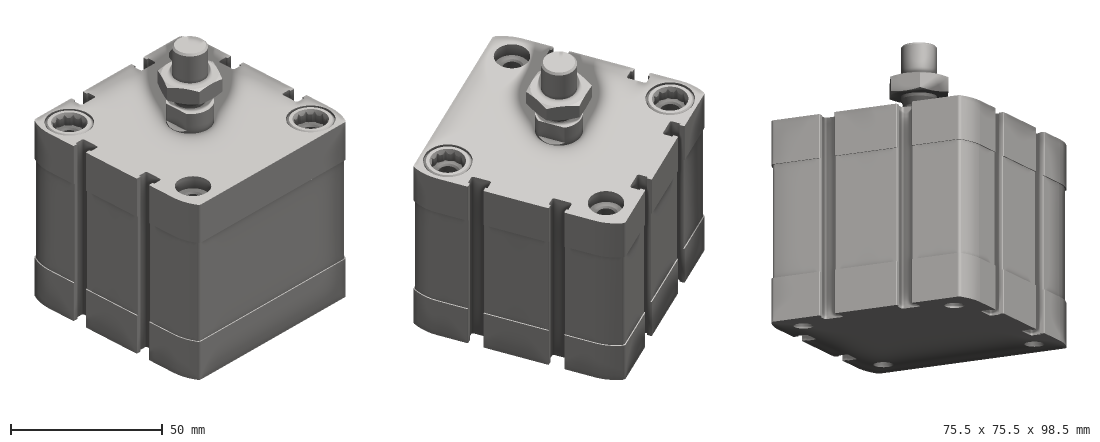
import cadquery as cq
import math

width = 75.5
housing_height = 68.8
cap_height = 15.0
barrel_inset = 0.4
corner_arc_radius = 18.2
corner_arc_start = 9.6
corner_edge_fillet = 1.3

slot_offset = 14.4
slot_opening = 5.5
slot_inner_width = 7.0
slot_lip = 1.8
slot_depth = 5.3
slot_edge_fillet = 0.3
slot_floor_fillet = 0.8

hole_offset = 28.2
thread_diameter = 6.6
countersink_diameter = 8.0
countersink_depth = 0.5
counterbore_diameter = 12.0
counterbore_depth = 4.7

head_pocket_diameter = 16.4
head_diameter = 15.5
head_top_diameter = 14.4
head_groove_depth = 1.0
socket_flats = 9.9
socket_bore_diameter = 10.6
socket_mouth_diameter = 12.0
socket_mouth_depth = 1.8

total_height = 98.5
collar_diameter = 16.0
collar_flats = 13.0
collar_top = 76.4
flats_bottom = 69.8
flats_runout_height = 0.9
neck_diameter = 10.2
neck_top = 77.8
neck_chamfer = 0.3
stud_diameter = 12.0
stud_bottom = 80.2
stud_chamfer = 0.7

nut_flats = 19.0
nut_bottom = 81.3
nut_height = 6.0
nut_chamfer_angle = 20


def block(inset, bottom, height):
    """Block with shallow rounded corners, set in from the full width on all sides."""
    half = width / 2 - inset
    arc_center_x = width / 2 - corner_arc_start
    arc_radius = corner_arc_radius - inset
    arc_center_y = half - arc_radius

    def on_arc(x):
        return arc_center_y + math.sqrt(arc_radius ** 2 - (x - arc_center_x) ** 2)

    side_y = on_arc(half)
    mid_x = (arc_center_x + half) / 2
    mid_y = on_arc(mid_x)
    return (
        cq.Workplane("XY", origin=(0, 0, bottom))
        .moveTo(-arc_center_x, half)
        .lineTo(arc_center_x, half)
        .threePointArc((mid_x, mid_y), (half, side_y))
        .lineTo(half, -side_y)
        .threePointArc((mid_x, -mid_y), (arc_center_x, -half))
        .lineTo(-arc_center_x, -half)
        .threePointArc((-mid_x, -mid_y), (-half, -side_y))
        .lineTo(-half, side_y)
        .threePointArc((-mid_x, mid_y), (-arc_center_x, half))
        .close()
        .extrude(height)
        .edges("|Z and (<X or >X)")
        .fillet(corner_edge_fillet)
    )


def slot_cutter(inset, bottom, height):
    """T-slot through the +Y face, with its mouth edges rounded off."""
    face = width / 2 - inset
    lip_inside = width / 2 - slot_lip
    floor = width / 2 - slot_depth
    mouth = slot_opening / 2
    plane = cq.Workplane("XY", origin=(0, 0, bottom))
    channel = (
        plane.center(0, (lip_inside + floor) / 2)
        .rect(slot_inner_width, lip_inside - floor)
        .extrude(height)
        .edges("|Z and <Y")
        .fillet(slot_floor_fillet)
    )
    bulge = slot_edge_fillet * (1 - math.sqrt(0.5))
    rounding_start = face - slot_edge_fillet
    mouth_end = mouth + slot_edge_fillet
    opening = (
        plane.moveTo(-mouth, lip_inside)
        .lineTo(-mouth, rounding_start)
        .threePointArc((-mouth - bulge, face - bulge), (-mouth_end, face))
        .lineTo(mouth_end, face)
        .threePointArc((mouth + bulge, face - bulge), (mouth, rounding_start))
        .lineTo(mouth, lip_inside)
        .close()
        .extrude(height)
    )
    return channel.union(opening)


def housing_section(inset, bottom, height):
    """One length of the housing with its six T-slots."""
    section = block(inset, bottom, height)
    cutter = slot_cutter(inset, bottom, height)
    for face_angle in (0, 90, 180):
        for offset in (-slot_offset, slot_offset):
            slot = cutter.translate((offset, 0, 0)).rotate((0, 0, 0), (0, 0, 1), face_angle)
            section = section.cut(slot)
    return section


def hexagon_corners(flats):
    """Diameter across the corners of a hexagon, from its size across flats."""
    return flats / math.cos(math.radians(30))


def revolved(profile):
    """Solid of revolution about Z from (radius, z) points."""
    return cq.Workplane("XZ").polyline(profile).close().revolve(360, (0, 0, 0), (0, 1, 0))


def threaded_hole_cutter():
    """Hole from the base up to the counterbore floor, with a countersink at its top."""
    floor = housing_height - counterbore_depth
    thread_radius = thread_diameter / 2
    countersink_radius = countersink_diameter / 2
    return revolved([
        (0, 0),
        (thread_radius, 0),
        (thread_radius, floor - countersink_depth),
        (countersink_radius, floor),
        (0, floor),
    ])


def counterbore_cutter():
    return (
        cq.Workplane("XY", origin=(0, 0, housing_height))
        .circle(counterbore_diameter / 2)
        .extrude(-counterbore_depth)
    )


def screw_head_cutter():
    """Groove around a screw head plus its twelve-point socket."""
    top = housing_height
    head_chamfer = (head_diameter - head_top_diameter) / 2
    groove_bottom = top - head_groove_depth
    groove = revolved([
        (head_top_diameter / 2, top),
        (head_diameter / 2, top - head_chamfer),
        (head_diameter / 2, groove_bottom),
        (head_pocket_diameter / 2, groove_bottom),
        (head_pocket_diameter / 2, top),
    ])
    bore_radius = socket_bore_diameter / 2
    socket = revolved([
        (0, top),
        (socket_mouth_diameter / 2, top),
        (bore_radius, top - socket_mouth_depth),
        (bore_radius, top - counterbore_depth),
        (0, top - counterbore_depth),
    ])
    for angle in (0, 30):
        hexagon = (
            cq.Workplane("XY", origin=(0, 0, top))
            .polygon(6, hexagon_corners(socket_flats))
            .extrude(-counterbore_depth)
            .rotate((0, 0, 0), (0, 0, 1), angle)
        )
        socket = socket.union(hexagon)
    return socket.union(groove)


def make_housing():
    barrel_height = housing_height - 2 * cap_height
    housing = housing_section(0, 0, cap_height)
    housing = housing.union(housing_section(barrel_inset, cap_height, barrel_height))
    housing = housing.union(housing_section(0, housing_height - cap_height, cap_height))
    for x_sign in (-1, 1):
        for y_sign in (-1, 1):
            corner = (x_sign * hole_offset, y_sign * hole_offset, 0)
            mouth = screw_head_cutter() if x_sign == y_sign else counterbore_cutter()
            housing = housing.cut(mouth.translate(corner))
            housing = housing.cut(threaded_hole_cutter().translate(corner))
    return housing


def make_rod():
    """Piston rod standing on the housing: flatted collar, neck and stud."""
    collar_radius = collar_diameter / 2
    neck_radius = neck_diameter / 2
    stud_radius = stud_diameter / 2
    rod = revolved([
        (0, housing_height),
        (collar_radius, housing_height),
        (collar_radius, collar_top),
        (neck_radius + neck_chamfer, collar_top),
        (neck_radius, collar_top + neck_chamfer),
        (neck_radius, neck_top),
        (stud_radius, stud_bottom),
        (stud_radius, total_height - stud_chamfer),
        (stud_radius - stud_chamfer, total_height),
        (0, total_height),
    ])
    flat = (
        cq.Workplane("YZ", origin=(-collar_radius, 0, 0))
        .polyline([
            (collar_flats / 2, collar_top),
            (collar_flats / 2, flats_bottom),
            (collar_radius, flats_bottom - flats_runout_height),
            (collar_radius, collar_top),
        ])
        .close()
        .extrude(collar_diameter)
    )
    return rod.cut(flat).cut(flat.mirror("XZ"))


def make_nut():
    """Hexagon nut with corners pointing along Y, chamfered at both ends."""
    corner_radius = hexagon_corners(nut_flats) / 2
    chamfer_radius = nut_flats / 2
    chamfer_height = (corner_radius - chamfer_radius) * math.tan(math.radians(nut_chamfer_angle))
    nut_top = nut_bottom + nut_height
    hexagon = (
        cq.Workplane("XY", origin=(0, 0, nut_bottom))
        .polygon(6, 2 * corner_radius)
        .extrude(nut_height)
        .rotate((0, 0, 0), (0, 0, 1), 90)
    )
    chamfered_envelope = revolved([
        (0, nut_bottom),
        (chamfer_radius, nut_bottom),
        (corner_radius, nut_bottom + chamfer_height),
        (corner_radius, nut_top - chamfer_height),
        (chamfer_radius, nut_top),
        (0, nut_top),
    ])
    bore = (
        cq.Workplane("XY", origin=(0, 0, nut_bottom))
        .circle(stud_diameter / 2)
        .extrude(nut_height)
    )
    return hexagon.intersect(chamfered_envelope).cut(bore)


housing = make_housing()
rod = make_rod()
nut = make_nut()

result = cq.Compound.makeCompound([housing.val(), rod.val(), nut.val()])